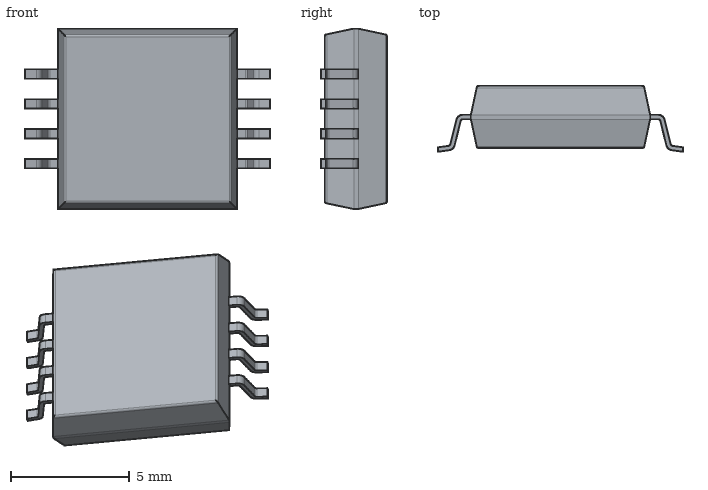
import cadquery as cq
import math

body_width = 7.6
body_height = 7.65
half_depth = 1.22
draft_angle = 12.0
face_edge_radius = 0.1

lead_span = 10.38
lead_thickness = 0.2
lead_width = 0.4
lead_pitch = 1.27
leads_per_side = 4
shoulder_corner = 4.36
leg_tilt = 14.0
foot_tilt = 8.0
total_depth = 2.8
inner_bend_radius = 0.09
lead_embed = 0.52

outer_bend_radius = inner_bend_radius + lead_thickness
band_half = lead_thickness / 2
back_face = band_half + half_depth
foot_bottom = back_face - total_depth


def drafted_half(side):
    """Half of the body, tapering away from the band; side is +1 (back) or -1 (front)."""
    plane = cq.Plane(origin=(0, side * band_half, 0), xDir=(1, 0, 0), normal=(0, side, 0))
    return (
        cq.Workplane(plane)
        .rect(body_width, body_height)
        .extrude(half_depth, taper=draft_angle)
    )


def make_body():
    band = cq.Workplane("XY").box(body_width, lead_thickness, body_height)
    body = band.union(drafted_half(1)).union(drafted_half(-1))
    return body.faces("<Y or >Y").edges().fillet(face_edge_radius)


def leg_foot_corner(leg_x, leg_y, foot_tip_y):
    """Where a leg line through (leg_x, leg_y) meets a foot line that starts at the tip."""
    leg_slope = math.tan(math.radians(leg_tilt))
    foot_slope = math.tan(math.radians(foot_tilt))
    tip_x = lead_span / 2
    drop = leg_y - foot_tip_y - foot_slope * (tip_x - leg_x)
    drop /= 1 - foot_slope * leg_slope
    return leg_x + drop * leg_slope, leg_y - drop


def make_lead():
    """One lead on the +X side, centred on Z = 0."""
    root_x = body_width / 2 - lead_embed
    tip_x = lead_span / 2
    foot_top = foot_bottom + lead_thickness / math.cos(math.radians(foot_tilt))

    bend_half_angle = math.radians(90 - leg_tilt) / 2
    shoulder_outer = (shoulder_corner, band_half)
    shoulder_inner = (shoulder_corner - lead_thickness * math.tan(bend_half_angle), -band_half)
    ankle_top = leg_foot_corner(*shoulder_outer, foot_top)
    ankle_bottom = leg_foot_corner(*shoulder_inner, foot_bottom)

    outline = [
        (root_x, band_half),
        shoulder_outer,
        ankle_top,
        (tip_x, foot_top),
        (tip_x, foot_bottom),
        ankle_bottom,
        shoulder_inner,
        (root_x, -band_half),
    ]
    lead = cq.Workplane("XY").polyline(outline).close().extrude(lead_width / 2, both=True)

    bends = [
        (shoulder_outer, outer_bend_radius),
        (shoulder_inner, inner_bend_radius),
        (ankle_top, inner_bend_radius),
        (ankle_bottom, outer_bend_radius),
    ]
    for (x, y), radius in bends:
        corner_edge = cq.selectors.NearestToPointSelector((x, y, 0))
        lead = lead.edges("|Z").edges(corner_edge).fillet(radius)
    return lead


result = make_body()
right_lead = make_lead()
left_lead = right_lead.mirror("YZ")
for index in range(leads_per_side):
    lead_z = (index - (leads_per_side - 1) / 2) * lead_pitch
    for lead in (right_lead, left_lead):
        result = result.union(lead.translate((0, 0, lead_z)))